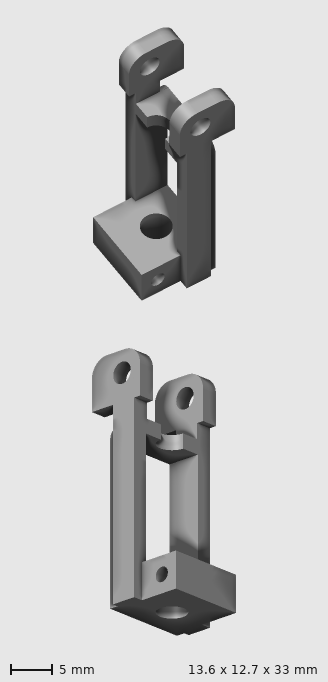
import cadquery as cq


frame_width = 13.6
rail_depth = 3.5
window_width = 9.3

ear_gap = 9.0
ear_top = 33.0
ear_bottom = 26.2
ear_front_overhang = 1.0
ear_rear_overhang = 3.5
ear_corner_radius = 2.5
pin_hole_diameter = 2.9
pin_hole_y = 2.0
pin_hole_z = 30.0

plate_width = 12.0
plate_thickness = 1.2
plate_top = 24.2
plate_corner_radius = 2.0

web_top = 24.1
web_thickness = 2.0

block_width = 10.8
block_height = 5.0
block_front_overhang = 5.65
cross_hole_diameter = 2.0
cross_hole_y = -3.3
cross_hole_z = block_height / 2

rod_hole_diameter = 4.0

ear_rear = rail_depth + ear_rear_overhang
plate_rear = rail_depth + plate_thickness
web_bottom = web_top - web_thickness


def box(width, y_front, y_rear, z_bottom, z_top):
    """Box centred on X = 0, spanning the given Y and Z limits."""
    depth = y_rear - y_front
    height = z_top - z_bottom
    return (
        cq.Workplane("XY")
        .box(width, depth, height, centered=(True, False, False))
        .translate((0, y_front, z_bottom))
    )


def cross_cylinder(diameter, y, z):
    """Cylinder along X spanning the full frame width."""
    return (
        cq.Workplane("YZ")
        .center(y, z)
        .circle(diameter / 2)
        .extrude(frame_width / 2, both=True)
    )


def make_frame():
    """Full-width uprights, ears and back plate before the openings are cut."""
    uprights = box(frame_width, 0, rail_depth, 0, ear_top - ear_corner_radius)
    ears = box(frame_width, -ear_front_overhang, ear_rear, ear_bottom, ear_top)
    ears = ears.edges("|X and >Z").fillet(ear_corner_radius)
    plate = box(plate_width, rail_depth, plate_rear, 0, plate_top)
    plate = plate.edges("|Y and >Z").fillet(plate_corner_radius)
    return uprights.union(ears).union(plate)


def make_openings():
    """Gap between the ears, down to the web top, and window between the web and the block."""
    gap = box(ear_gap, -ear_front_overhang, ear_rear, web_top, ear_top)
    window = box(window_width, 0, plate_rear, block_height, web_bottom)
    return gap.union(window)


def make_block():
    """Front part of the base block; its rear part is the frame below the window."""
    return box(block_width, -block_front_overhang, 0, 0, block_height)


def make_holes():
    """Pin hole through the ears, cross hole through the block, and vertical rod hole."""
    pin_hole = cross_cylinder(pin_hole_diameter, pin_hole_y, pin_hole_z)
    cross_hole = cross_cylinder(cross_hole_diameter, cross_hole_y, cross_hole_z)
    rod_hole = cq.Workplane("XY").circle(rod_hole_diameter / 2).extrude(web_top)
    return pin_hole.union(cross_hole).union(rod_hole)


result = make_frame().cut(make_openings()).union(make_block()).cut(make_holes())